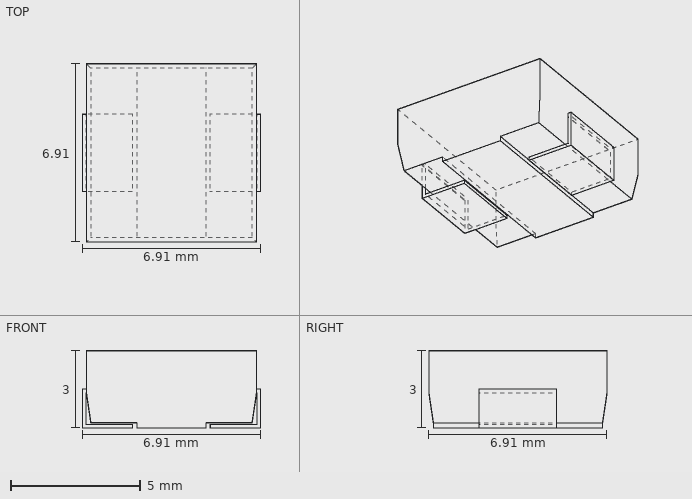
import cadquery as cq

housing_x = 6.6
housing_y = 6.91
housing_top = 3.0
shoulder_height = 1.37
underside_height = 0.2
taper_inset = 0.175

overall_x = 6.91
strip_thickness = 0.145
terminal_width = 3.0
terminal_top = 1.52
terminal_gap = 3.0

pad_x = 2.68

strip_inner_x = overall_x - 2 * strip_thickness
underside_x = housing_x - 2 * taper_inset
underside_y = housing_y - 2 * taper_inset


def make_housing():
    """Block with a tapered lower part and a standoff pad, as one solid."""
    upper = (
        cq.Workplane("XY", origin=(0, 0, shoulder_height))
        .rect(housing_x, housing_y)
        .extrude(housing_top - shoulder_height)
    )
    lower = (
        cq.Workplane("XY", origin=(0, 0, underside_height))
        .rect(underside_x, underside_y)
        .workplane(offset=shoulder_height - underside_height)
        .rect(housing_x, housing_y)
        .loft(ruled=True)
    )
    pad = cq.Workplane("XY").rect(pad_x, underside_y).extrude(underside_height)
    return upper.union(lower).union(pad)


def make_terminal(side):
    """L-shaped strip with an inward foot; side is -1 for -X and +1 for +X.

    Above the shoulder the strip is slightly thicker, so it touches the housing side.
    """
    outer = side * overall_x / 2
    inner = side * strip_inner_x / 2
    housing_side = side * housing_x / 2
    foot_end = side * terminal_gap / 2
    profile = [
        (outer, 0),
        (outer, terminal_top),
        (housing_side, terminal_top),
        (housing_side, shoulder_height),
        (inner, shoulder_height),
        (inner, strip_thickness),
        (foot_end, strip_thickness),
        (foot_end, 0),
    ]
    return cq.Workplane("XZ").polyline(profile).close().extrude(terminal_width / 2, both=True)


housing = make_housing()
terminals = [make_terminal(side) for side in (-1, 1)]

result = cq.Compound.makeCompound([housing.val(), *[terminal.val() for terminal in terminals]])